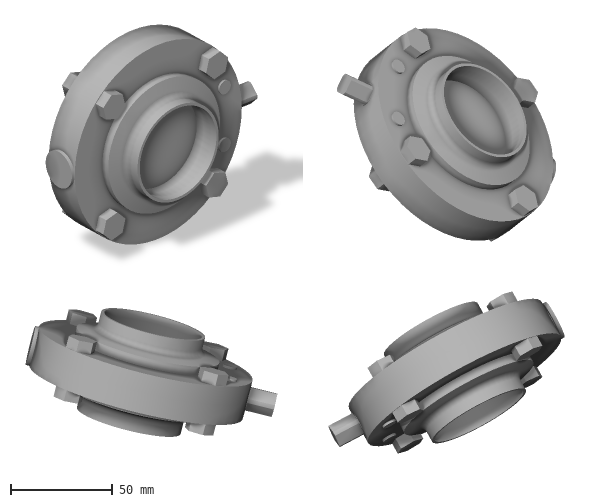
import cadquery as cq
import math

half_length = 25.0
bore_radius = 25.0
pipe_radius = 26.5
flange_radius = 54.5
flange_half_thickness = 10.0
collar_radius = 36.5
collar_end_x = 14.5
cone_end_x = 16.3
cone_end_radius = 28.8
fillet_end_x = 19.3

bolt_count = 4
bolt_circle_radius = 47.4
bolt_across_flats = 13.0
bolt_sides = 6
bolt_head_end_x = 15.7
bolt_head_height = bolt_head_end_x - flange_half_thickness
bolt_start_angle = 45.0

pin_radius = 3.7
pin_y = 42.6
pin_z = 16.2
pin_height = 1.2

disc_half_thickness = flange_half_thickness
stem_radius = 6.0
stem_across_flats = 9.8
square_turn = 45.0
stem_end_y = 68.1
button_radius = flange_half_thickness
button_thickness = 1.9


def half_profile():
    """Half section in the XY plane, with a concave fillet from cone to pipe."""
    cone_angle = math.atan2(cone_end_x - collar_end_x, collar_radius - cone_end_radius)
    fillet_radius = (fillet_end_x - cone_end_x) / math.cos(cone_angle)
    mid_angle = (math.pi / 2 + cone_angle) / 2
    fillet_mid = (
        fillet_end_x - fillet_radius * math.cos(mid_angle),
        pipe_radius + fillet_radius * (1 - math.sin(mid_angle)),
    )
    return (
        cq.Workplane("XY")
        .moveTo(0, bore_radius)
        .lineTo(0, flange_radius)
        .lineTo(flange_half_thickness, flange_radius)
        .lineTo(flange_half_thickness, collar_radius)
        .lineTo(collar_end_x, collar_radius)
        .lineTo(cone_end_x, cone_end_radius)
        .threePointArc(fillet_mid, (fillet_end_x, pipe_radius))
        .lineTo(half_length, pipe_radius)
        .lineTo(half_length, bore_radius)
        .close()
    )


def flange_face():
    """Workplane on the outer flange face, with local axes along Y and Z."""
    return cq.Workplane("YZ").workplane(offset=flange_half_thickness)


def bolt_heads():
    """Hexagon heads, each with a flat facing straight outward."""
    circumdiameter = bolt_across_flats / math.cos(math.pi / bolt_sides)
    flat_outward_turn = 180.0 / bolt_sides
    head = (
        flange_face()
        .transformed(rotate=(0, 0, flat_outward_turn))
        .polygon(bolt_sides, circumdiameter)
        .extrude(bolt_head_height)
        .translate((0, bolt_circle_radius, 0))
    )
    heads = []
    for index in range(bolt_count):
        angle = bolt_start_angle + index * 360.0 / bolt_count
        heads.append(head.rotate((0, 0, 0), (1, 0, 0), angle))
    return heads


def locating_pins():
    """Pair of short round pins standing on the flange face, either side of the stem."""
    return (
        flange_face()
        .pushPoints([(pin_y, pin_z), (pin_y, -pin_z)])
        .circle(pin_radius)
        .extrude(pin_height)
    )


def stem_cylinder():
    """Round stem across the full flange diameter, along Y."""
    return (
        cq.Workplane("XZ")
        .workplane(offset=-flange_radius)
        .circle(stem_radius)
        .extrude(2 * flange_radius)
    )


def make_body_half():
    """Body half on the +X side, with its bolt heads, pins and stem hole."""
    half = half_profile().revolve(360, (0, 0, 0), (1, 0, 0))
    for head in bolt_heads():
        half = half.union(head)
    half = half.union(locating_pins())
    return half.cut(stem_cylinder())


def square_drive():
    """Stem end cut to a square standing on its corner, with rounded corners."""
    drive_length = stem_end_y - flange_radius
    plane = cq.Workplane("XZ").workplane(offset=-stem_end_y)
    round_bar = plane.circle(stem_radius).extrude(drive_length)
    square_bar = (
        plane.transformed(rotate=(0, 0, square_turn))
        .rect(stem_across_flats, stem_across_flats)
        .extrude(drive_length)
    )
    return round_bar.intersect(square_bar)


def make_disc_and_stem():
    """Valve disc filling the bore, its stem, the square drive and the end button."""
    disc = (
        cq.Workplane("YZ")
        .workplane(offset=-disc_half_thickness)
        .circle(bore_radius)
        .extrude(2 * disc_half_thickness)
    )
    button = (
        cq.Workplane("XZ")
        .workplane(offset=flange_radius)
        .circle(button_radius)
        .extrude(button_thickness)
    )
    return disc.union(stem_cylinder()).union(square_drive()).union(button)


right_half = make_body_half()
left_half = right_half.mirror("YZ")
disc_and_stem = make_disc_and_stem()

result = cq.Compound.makeCompound(
    [
        left_half.solids().val(),
        right_half.solids().val(),
        disc_and_stem.solids().val(),
    ]
)